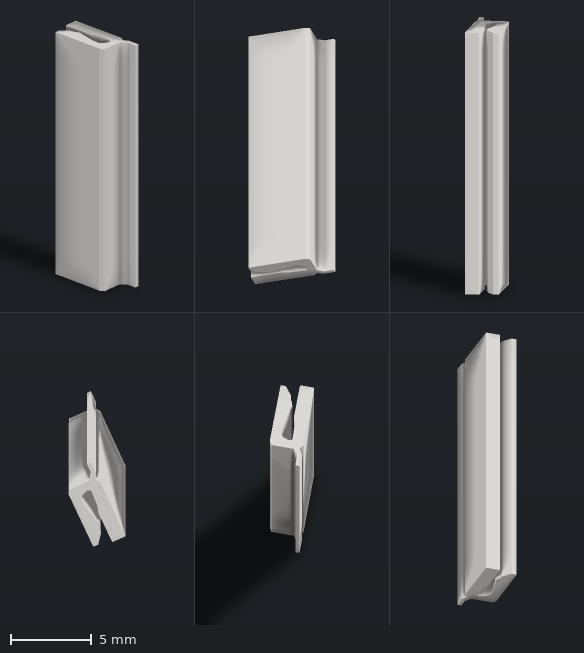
import cadquery as cq

length = 16.5
width = 5.21
depth = 2.11

wall_x = 4.17
corner_chamfer_x = 0.28
corner_chamfer_y = 0.15

flange_thickness = 0.26
flange_inner_y = depth - flange_thickness
flange_bend_x = 4.57
flange_root_y = 1.57
flange_top_x = 4.42
notch_x = 4.1
notch_y = 1.91

back_arm_end_x = 3.83
back_arm_inner_y = 1.19
back_arm_taper = 0.03

front_arm_x = 0.21
front_arm_tip_y = 0.33

flare_start_x = 2.1
flare_end = (2.49, 1.32)
slot_back_corner = (3.58, 1.37)
slot_end_x = 3.65
slot_end_back_y = 1.24
slot_end_front_y = 1.09
slot_front_bend = (3.51, 0.76)
slot_front_corner = (3.23, 0.6)

ramp_foot = (2.77, 0.63)
ramp_top = (1.52, 0.89)
lip_crest = (1.47, 0.97)
lip_front = (1.2, 0.9)
shelf_back = (1.0, 0.8)
shelf_front = (0.76, 0.76)

outer_points = [
    (front_arm_x, 0),
    (wall_x - corner_chamfer_x, 0),
    (wall_x, corner_chamfer_y),
    (wall_x, flange_root_y),
    (flange_bend_x, flange_inner_y),
    (width, flange_inner_y),
    (width, depth),
    (flange_top_x, depth),
    (notch_x, notch_y),
    (back_arm_end_x, depth),
    (0, depth - back_arm_taper),
    (0, back_arm_inner_y),
]

slot_points = [
    (flare_start_x, back_arm_inner_y),
    flare_end,
    slot_back_corner,
    (slot_end_x, slot_end_back_y),
    (slot_end_x, slot_end_front_y),
    slot_front_bend,
    slot_front_corner,
]

lip_points = [
    ramp_foot,
    ramp_top,
    lip_crest,
    lip_front,
    shelf_back,
    shelf_front,
    (front_arm_x, front_arm_tip_y),
]

profile = cq.Workplane("XY").polyline(outer_points + slot_points + lip_points).close()
result = profile.extrude(length)